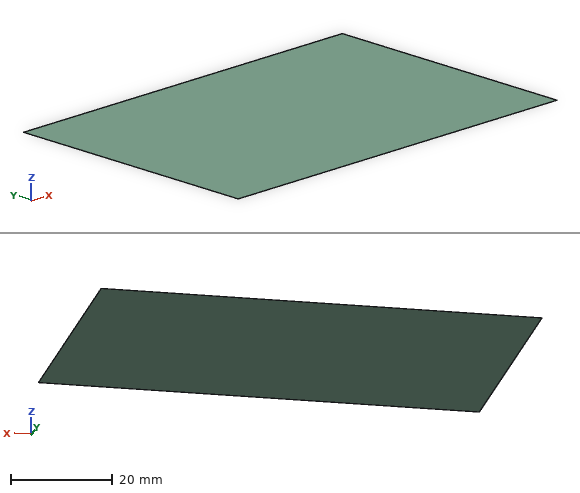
import cadquery as cq

length = 89.0
width = 60.0
thickness = 0.05

result = cq.Workplane("XY").box(length, width, thickness)